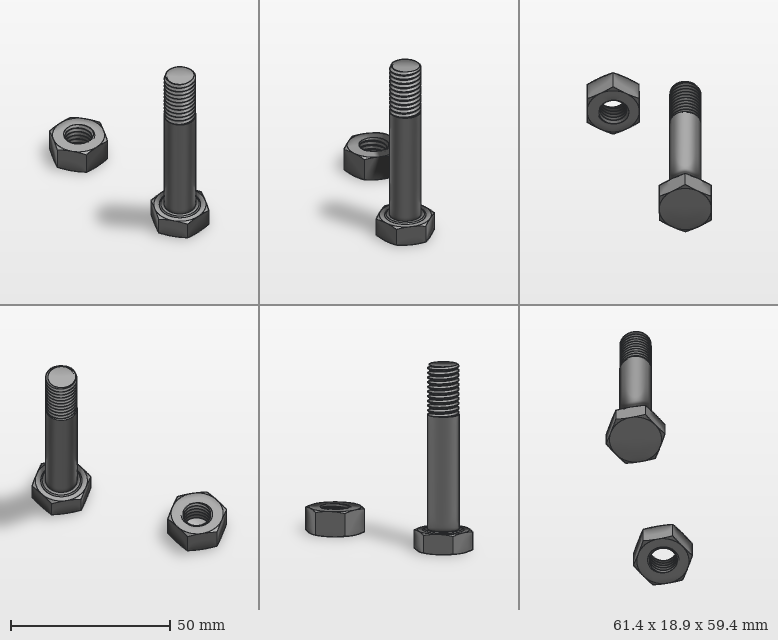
import cadquery as cq
import math

across_corners = 18.9
across_flats = across_corners * math.sqrt(3) / 2
corner_chamfer_angle = 20.0

overall_width = 61.4
bolt_x = overall_width - across_flats

bolt_length = 59.4
head_height = 6.5
washer_face_height = 0.3
washer_face_base_diameter = 13.0
washer_face_top_diameter = 12.0
shank_diameter = 10.0
thread_length = 16.0
end_chamfer = 0.5
shank_top = bolt_length - thread_length

nut_height = 8.1

pitch_ratio = 0.15
pitch = pitch_ratio * shank_diameter
bolt_root_diameter = 8.15
bolt_crest_diameter = 9.9
nut_bore_diameter = 8.5
nut_groove_diameter = 10.2
ridge_base_width = 1.3
ridge_tip_width = 0.2
overrun_turns = 3
bolt_crest_z = 0.35
nut_groove_z = 1.55


def cylinder(diameter, height, base_z=0.0):
    return cq.Workplane("XY").workplane(offset=base_z).circle(diameter / 2).extrude(height)


def hexagon(height, chamfer_angle):
    """Hexagonal prism with corners on +Y and -Y, turned conically at both ends."""
    prism = cq.Workplane("XY").polygon(6, across_corners).extrude(height)
    prism = prism.rotate((0, 0, 0), (0, 0, 1), 90)
    flat_radius = across_flats / 2
    corner_radius = across_corners / 2
    drop = (corner_radius - flat_radius) * math.tan(math.radians(chamfer_angle))
    turned_blank = (
        cq.Workplane("XZ")
        .moveTo(0, 0)
        .lineTo(flat_radius, 0)
        .lineTo(corner_radius, drop)
        .lineTo(corner_radius, height - drop)
        .lineTo(flat_radius, height)
        .lineTo(0, height)
        .close()
        .revolve(360, (0, 0, 0), (0, 1, 0))
    )
    return prism.intersect(turned_blank)


def helix_turn(radius, start_z):
    """One turn of a right-handed helix that starts at +X."""
    return cq.Wire.makeHelix(pitch, pitch, radius, center=cq.Vector(0, 0, start_z)).Edges()[0]


def rod_end(profile_points):
    """Faces that close an end of a threaded rod: one helicoid turn and one axial step."""
    root_radius, start_z = profile_points[0]
    axis_bottom = cq.Vector(0, 0, start_z)
    axis_top = cq.Vector(0, 0, start_z + pitch)
    outline = [cq.Vector(radius, 0, z) for radius, z in profile_points]
    helicoid = cq.Face.makeRuledSurface(
        cq.Edge.makeLine(axis_bottom, axis_top), helix_turn(root_radius, start_z)
    )
    step = cq.Face.makeFromWires(
        cq.Wire.makePolygon([axis_bottom, *outline, axis_top], close=True)
    )
    return [helicoid, step]


def threaded_rod(root_diameter, crest_diameter, crest_z, length):
    """Right-handed threaded rod that runs past Z = 0 and Z = length.

    A crest passes +X at crest_z. The side is made of helical strips, turn by turn.
    """
    root_radius = root_diameter / 2
    crest_radius = crest_diameter / 2
    turns = math.ceil(length / pitch) + 2 * overrun_turns

    def profile(turn):
        ridge_z = crest_z + (turn - overrun_turns) * pitch
        return [
            (root_radius, ridge_z - ridge_base_width / 2),
            (crest_radius, ridge_z - ridge_tip_width / 2),
            (crest_radius, ridge_z + ridge_tip_width / 2),
            (root_radius, ridge_z + ridge_base_width / 2),
            (root_radius, ridge_z - ridge_base_width / 2 + pitch),
        ]

    faces = rod_end(profile(0)) + rod_end(profile(turns))
    for turn in range(turns):
        helices = [helix_turn(radius, z) for radius, z in profile(turn)]
        faces += [
            cq.Face.makeRuledSurface(lower, upper) for lower, upper in zip(helices, helices[1:])
        ]
    return cq.Workplane(obj=cq.Solid.makeSolid(cq.Shell.makeShell(faces)))


def make_bolt():
    head = hexagon(head_height, corner_chamfer_angle)
    washer_face = (
        cq.Workplane("XY")
        .workplane(offset=head_height)
        .circle(washer_face_base_diameter / 2)
        .workplane(offset=washer_face_height)
        .circle(washer_face_top_diameter / 2)
        .loft(ruled=True)
    )
    shank = cylinder(shank_diameter, shank_top - head_height, head_height)
    thread = threaded_rod(bolt_root_diameter, bolt_crest_diameter, bolt_crest_z, thread_length)
    envelope = cylinder(shank_diameter, thread_length).faces(">Z").chamfer(end_chamfer)
    thread = thread.intersect(envelope).translate((0, 0, shank_top))
    return head.union(washer_face).union(shank).union(thread).translate((bolt_x, 0, 0))


def make_nut():
    blank = hexagon(nut_height, corner_chamfer_angle)
    tap = threaded_rod(nut_bore_diameter, nut_groove_diameter, nut_groove_z, nut_height)
    return blank.cut(tap)


nut = make_nut()
bolt = make_bolt()

result = cq.Compound.makeCompound([nut.solids().val(), bolt.solids().val()])